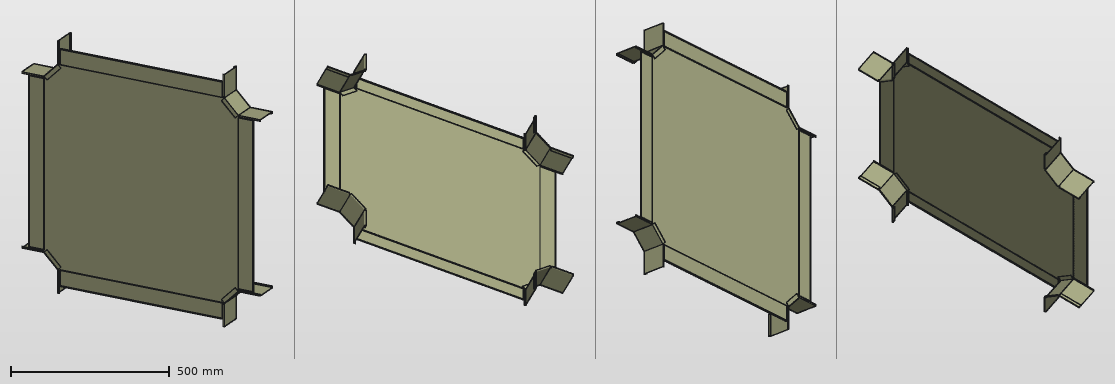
import cadquery as cq
import math


span = 854.0
depth = 82.0
sheet = 1.5
channel_half = 299.0
corner_leg = 49.5

rim_width = 6.0
flange_width = 6.0
tab_width = 16.0
lip_drop = 10.0
bend_radius = 3.0
corner_relief = 2.5

tongue_end = 403.0
tongue_half = 289.5
hem_width = 3.0

half_span = span / 2
fold_line = channel_half + corner_leg
back = depth / 2
front = -back
quarter_turns = [0, 90, 180, 270]


def turned(body, angle):
    """The body turned about the Y axis through the centre."""
    return body.rotate((0, 0, 0), (0, 1, 0), angle)


def prism(points, y_start, y_end):
    """Solid with an outline of (x, z) points, reaching from y_start to y_end."""
    outline = cq.Workplane("XZ", origin=(0, y_start, 0)).polyline(points).close()
    return outline.extrude(y_start - y_end)



def wall_line(inset):
    """Path of the wall's outer face, moved into the tray by the inset."""
    face = channel_half - inset
    turn = fold_line - inset * math.tan(math.radians(22.5))
    return [(face, half_span), (face, turn), (turn, face), (half_span, face)]


def plain_wall():
    """Continuous wall up to where the bends of the rims begin."""
    outline = wall_line(0) + wall_line(sheet)[::-1]
    return prism(outline, front, back - bend_radius)


def bent_wall(start, end, front_width, lip):
    """Wall from start to end, bent inward at the front and, with a round bend, at the back.

    The profile is drawn with the distance into the tray across and Y up.
    """
    run_x = end[0] - start[0]
    run_z = end[1] - start[1]
    length = math.hypot(run_x, run_z)
    plane = cq.Plane(
        origin=(start[0], 0, start[1]),
        xDir=(run_z, 0, -run_x),
        normal=(run_x, 0, run_z),
    )
    bend_start = back - bend_radius
    inner_radius = bend_radius - sheet
    rim_inside = back - sheet
    profile = (
        cq.Workplane(plane)
        .moveTo(front_width, front)
        .lineTo(0, front)
        .lineTo(0, bend_start)
        .radiusArc((bend_radius, back), bend_radius)
        .lineTo(rim_width, back)
    )
    if lip:
        profile = (
            profile
            .lineTo(rim_width, back - lip_drop)
            .lineTo(rim_width - sheet, back - lip_drop)
            .lineTo(rim_width - sheet, rim_inside)
        )
    else:
        profile = profile.lineTo(rim_width, rim_inside)
    profile = (
        profile
        .lineTo(bend_radius, rim_inside)
        .radiusArc((sheet, bend_start), -inner_radius)
        .lineTo(sheet, front + sheet)
        .lineTo(front_width, front + sheet)
        .close()
    )
    return profile.extrude(length)


def make_corner():
    """Diagonal wall between two straight walls, one at right angles to the other."""
    rim_start = fold_line + corner_relief
    diagonal = bent_wall((channel_half, fold_line), (fold_line, channel_half), tab_width, lip=False)
    along_z = bent_wall((channel_half, half_span), (channel_half, rim_start), flange_width, lip=True)
    along_x = bent_wall((rim_start, channel_half), (half_span, channel_half), flange_width, lip=True)
    return plain_wall().union(diagonal).union(along_z).union(along_x)



def tongue_strip(z_start, y_start):
    """One sheet of a +Z tongue, from z_start to the tongue's end."""
    w = tongue_half
    outline = [(-w, z_start), (w, z_start), (w, tongue_end), (-w, tongue_end)]
    return prism(outline, y_start, y_start + sheet)


def tongue():
    """Tongue one sheet behind the plate face, lapped under the plate and hemmed at its end."""
    leaf = tongue_strip(fold_line - sheet, front + sheet)
    hem = tongue_strip(tongue_end - hem_width, front)
    return leaf.union(hem)


def make_plate(corners):
    """Octagonal plate with four tongues, cut out where the corner walls sit."""
    c, f = channel_half, fold_line
    octagon = [(c, f), (f, c), (f, -c), (c, -f), (-c, -f), (-f, -c), (-f, c), (-c, f)]
    plate = prism(octagon, front, front + sheet)
    for angle in quarter_turns:
        plate = plate.union(turned(tongue(), angle))
    for corner in corners:
        plate = plate.cut(corner)
    return plate


corners = [turned(make_corner(), angle) for angle in quarter_turns]
plate = make_plate(corners)

result = cq.Compound.makeCompound([plate.val(), *[corner.val() for corner in corners]])